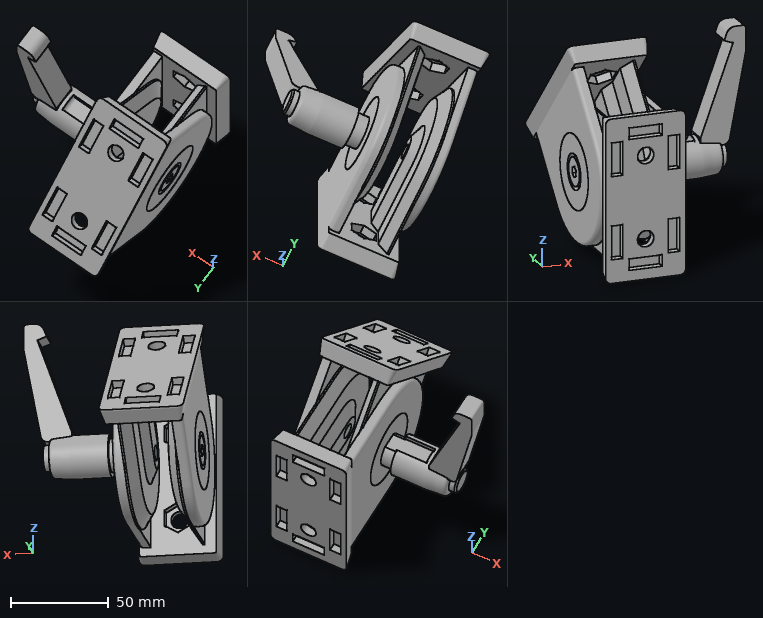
import cadquery as cq
import math


overall_depth = 116.8
tilt_angle = 45.0

plate_width = 43.9
plate_length = 89.0
plate_thickness = 9.5
plate_corner_radius = 3.0
plate_land = 1.0
plate_inset = 2.0

tilt_cosine = math.cos(math.radians(tilt_angle))
face_distance = (overall_depth - plate_length / 2 * tilt_cosine) / (1 + tilt_cosine)
plate_back = face_distance - plate_thickness

pocket_long = 18.2
pocket_short = 6.2
pocket_depth = 4.2
side_pocket_x = 15.5
end_pocket_y = 35.4
mount_spacing = 45.0
mount_hole_diameter = 8.8
nut_across_flats = 14.0
nut_pocket_depth = 4.7

cheek_radius = 37.8
cheek_arc_offset = 0.9
cheek_outer_x = plate_width / 2 - plate_inset
cheek_split_x = 14.0
cheek_edge_fillet = 2.5
rim_inner_x = 13.0
middle_step_x = 8.0
inner_face_x = 4.0
middle_step_radius = 30.4
lower_step_radius = 15.1
inner_face_radius = 7.2

disc_radius = 20.1
sink_radius = 9.6
head_radius = 7.7
head_height = 4.0
shank_radius = 4.0
hex_across_flats = 5.1
hex_depth = 3.5

collar_radius = 8.9
hub_start_x = 27.0
hub_taper_x = 46.6
hub_end_x = 58.2
hub_radius = 11.5
hub_end_radius = 10.5
hub_edge_fillet = 2.0
slot_width = 9.7
slot_floor_z = 7.7
slot_end_x = 44.2
slot_end_fillet = 2.5
lever_thickness = 13.5
lever_right_x = 71.6
lever_top_z = 70.2
lever_bottom_z = 6.9
arm_slant = 19.8
hook_radius = 5.0
hook_arc_top_x = 65.7
hook_front_length = 4.0
hook_underside_length = 5.1
arm_back_bend_z = 56.7
arm_back_bottom_x = 62.1
lever_top_fillet = 1.8
lever_bottom_fillet = 3.7
screw_head_radius = 6.9
screw_head_length = 4.1
screw_head_chamfer = 0.9


def cylinder_x(radius, x_start, x_end):
    """Round bar along the pivot axis."""
    return cq.Workplane("YZ", origin=(x_start, 0, 0)).circle(radius).extrude(x_end - x_start)


def cone_x(start_radius, end_radius, x_start, x_end, z_centre=0):
    """Truncated cone along X, centred at the given height."""
    base = cq.Vector(x_start, 0, z_centre)
    cone = cq.Solid.makeCone(start_radius, end_radius, x_end - x_start, base, cq.Vector(1, 0, 0))
    return cq.Workplane(cone)


def plate():
    """Rounded plate with a straight land at the face, tapering towards its back."""
    taper_height = plate_thickness - plate_land
    taper = math.degrees(math.atan(plate_inset / taper_height))
    outline = cq.Sketch().rect(plate_width, plate_length).vertices().fillet(plate_corner_radius)
    land = cq.Workplane("XY", origin=(0, 0, face_distance)).placeSketch(outline).extrude(-plate_land)
    tapered = (
        cq.Workplane("XY", origin=(0, 0, face_distance - plate_land))
        .placeSketch(outline)
        .extrude(-taper_height, taper=taper)
    )
    return land.union(tapered)


def cheek_outline(x_position, radius):
    """U-shaped outline in a plane across the pivot, open end on the back of the plate."""
    return (
        cq.Workplane("YZ", origin=(x_position, 0, 0))
        .moveTo(-radius, plate_back)
        .lineTo(-radius, -cheek_arc_offset)
        .threePointArc((0, -cheek_arc_offset - radius), (radius, -cheek_arc_offset))
        .lineTo(radius, plate_back)
        .close()
    )


def sloping_layer(x_start, x_end, start_radius, end_radius):
    """Cheek slice between two X positions whose U outline grows or shrinks across it."""
    cone = cone_x(start_radius, end_radius, x_start, x_end, -cheek_arc_offset)
    straight = (
        cq.Workplane("XY", origin=(0, 0, -cheek_arc_offset))
        .polyline(
            [(x_start, -start_radius), (x_end, -end_radius), (x_end, end_radius), (x_start, start_radius)]
        )
        .close()
        .extrude(plate_back + cheek_arc_offset)
    )
    return straight.union(cone)


def outer_cheek():
    """Flat cheek with a rounded outer edge and a through bore for the pivot disc."""
    cheek = cheek_outline(-cheek_outer_x, cheek_radius).extrude(cheek_outer_x - cheek_split_x)
    cheek = cheek.faces("<X").edges("not(>Z)").fillet(cheek_edge_fillet)
    return cheek.cut(cylinder_x(disc_radius, -cheek_outer_x, -cheek_split_x))


def inner_cheek():
    """Cheek that narrows towards the middle in two sloping steps, with the bolt hole."""
    rim = cheek_outline(rim_inner_x, cheek_radius).extrude(cheek_split_x - rim_inner_x)
    upper_step = sloping_layer(middle_step_x, rim_inner_x, middle_step_radius, cheek_radius)
    lower_step = sloping_layer(inner_face_x, middle_step_x, inner_face_radius, lower_step_radius)
    cheek = rim.union(upper_step).union(lower_step)
    return cheek.cut(cylinder_x(shank_radius, inner_face_x, cheek_split_x))


def face_pockets():
    """Six rectangular pockets sunk into the plate face."""
    face = cq.Workplane("XY", origin=(0, 0, face_distance))
    side_points = [(x * side_pocket_x, y * mount_spacing / 2) for x in (-1, 1) for y in (-1, 1)]
    end_points = [(0, -end_pocket_y), (0, end_pocket_y)]
    sides = face.pushPoints(side_points).rect(pocket_short, pocket_long).extrude(-pocket_depth)
    ends = face.pushPoints(end_points).rect(pocket_long, pocket_short).extrude(-pocket_depth)
    return sides.union(ends)


def mounting_holes():
    """Two through holes, each with a hexagonal nut pocket in the back of the plate."""
    centres = [(0, -mount_spacing / 2), (0, mount_spacing / 2)]
    back = cq.Workplane("XY", origin=(0, 0, plate_back)).pushPoints(centres)
    holes = back.circle(mount_hole_diameter / 2).extrude(plate_thickness)
    hexagon = cq.Sketch().regularPolygon(nut_across_flats / math.sqrt(3), 6)
    return holes.union(back.placeSketch(hexagon).extrude(nut_pocket_depth))


def bracket():
    """Plate and both cheeks in one piece, with the pockets and holes cut."""
    body = plate().union(outer_cheek()).union(inner_cheek())
    return body.cut(face_pockets()).cut(mounting_holes())


def pivot_disc():
    """Disc that fills the bore of the outer cheek on the +X side."""
    disc = cylinder_x(disc_radius, cheek_split_x, cheek_outer_x)
    return disc.cut(cylinder_x(shank_radius, cheek_split_x, cheek_outer_x))


def head_disc():
    """Disc that fills the bore on the -X side, with a chamfered seat for the bolt head."""
    disc = pivot_disc().mirror("YZ")
    seat = cylinder_x(head_radius, -cheek_outer_x, -cheek_outer_x + head_height)
    chamfer = cone_x(sink_radius, head_radius, -cheek_outer_x, -cheek_outer_x + sink_radius - head_radius)
    return disc.cut(seat).cut(chamfer)


def bolt():
    """Bolt with a flush round head and hexagonal socket, ending flush in the inner cheek."""
    head = cylinder_x(head_radius, -cheek_outer_x, -cheek_outer_x + head_height)
    shank = cylinder_x(shank_radius, -cheek_outer_x, -inner_face_x)
    hexagon = cq.Sketch().regularPolygon(hex_across_flats / math.sqrt(3), 6)
    socket = cq.Workplane("YZ", origin=(-cheek_outer_x, 0, 0)).placeSketch(hexagon).extrude(hex_depth)
    return head.union(shank).cut(socket)


def hub():
    """Round hub, tapered towards its rounded outer end."""
    barrel = (
        cq.Workplane("XY")
        .polyline(
            [
                (hub_start_x, 0),
                (hub_start_x, hub_radius),
                (hub_taper_x, hub_radius),
                (hub_end_x, hub_end_radius),
                (hub_end_x, 0),
            ]
        )
        .close()
        .revolve(360, (0, 0, 0), (1, 0, 0))
    )
    return barrel.faces(">X").edges().fillet(hub_edge_fillet)


def collar_slot():
    """Flat-floored slot along the top of the collar and hub, with a rounded inner end."""
    height = hub_radius + slot_end_fillet - slot_floor_z
    length = slot_end_x - cheek_outer_x
    block = (
        cq.Workplane("XY", origin=(cheek_outer_x + length / 2, 0, slot_floor_z))
        .rect(length, slot_width)
        .extrude(height)
    )
    return block.edges("|Y and >X and <Z").fillet(slot_end_fillet)


def handle():
    """Flat slanted arm that ends in a hook and rises from the outer half of the hub."""
    slant_sine = math.sin(math.radians(arm_slant))
    slant_cosine = math.cos(math.radians(arm_slant))
    middle_angle = math.radians((90 + arm_slant) / 2)

    arc_centre = (hook_arc_top_x, lever_top_z - hook_radius)
    arc_end = (arc_centre[0] - hook_radius * slant_cosine, arc_centre[1] + hook_radius * slant_sine)
    arc_middle = (
        arc_centre[0] - hook_radius * math.cos(middle_angle),
        arc_centre[1] + hook_radius * math.sin(middle_angle),
    )
    hook_tip = (arc_end[0] - hook_front_length * slant_sine, arc_end[1] - hook_front_length * slant_cosine)
    neck = (
        hook_tip[0] + hook_underside_length * slant_cosine,
        hook_tip[1] - hook_underside_length * slant_sine,
    )
    foot_z = neck[1] - (neck[0] - hub_taper_x) * slant_cosine / slant_sine

    arm = (
        cq.Workplane("XZ", origin=(0, lever_thickness / 2, 0))
        .moveTo(hub_taper_x, lever_bottom_z)
        .lineTo(hub_taper_x, foot_z)
        .lineTo(*neck)
        .lineTo(*hook_tip)
        .lineTo(*arc_end)
        .threePointArc(arc_middle, (hook_arc_top_x, lever_top_z))
        .lineTo(lever_right_x, lever_top_z)
        .lineTo(lever_right_x, arm_back_bend_z)
        .lineTo(arm_back_bottom_x, lever_bottom_z)
        .close()
        .extrude(lever_thickness)
    )
    arm = arm.edges("|Y and >X and >Z").fillet(lever_top_fillet)
    back_corner = cq.selectors.NearestToPointSelector((arm_back_bottom_x, 0, lever_bottom_z))
    return arm.edges("|Y").edges(back_corner).fillet(lever_bottom_fillet)


def lever():
    """Collar, slotted hub and arm in one piece, bored for the clamp screw."""
    collar = cylinder_x(collar_radius, cheek_outer_x, hub_start_x)
    body = collar.union(hub()).cut(collar_slot()).union(handle())
    return body.cut(cylinder_x(shank_radius, cheek_outer_x, hub_end_x))


def clamp_screw():
    """Screw with a chamfered round head on the hub end, reaching into the inner cheek."""
    head = cylinder_x(screw_head_radius, hub_end_x, hub_end_x + screw_head_length)
    head = head.faces(">X").chamfer(screw_head_chamfer)
    return head.union(cylinder_x(shank_radius, inner_face_x, hub_end_x))


x_axis = ((0, 0, 0), (1, 0, 0))
z_axis = ((0, 0, 0), (0, 0, 1))
tilted_bracket = bracket().rotate(*x_axis, -tilt_angle)
upright_bracket = bracket().rotate(*z_axis, 180).rotate(*x_axis, 90)

bodies = [
    tilted_bracket,
    upright_bracket,
    head_disc(),
    pivot_disc(),
    bolt(),
    lever(),
    clamp_screw(),
]
result = cq.Compound.makeCompound([body.solids().val() for body in bodies])